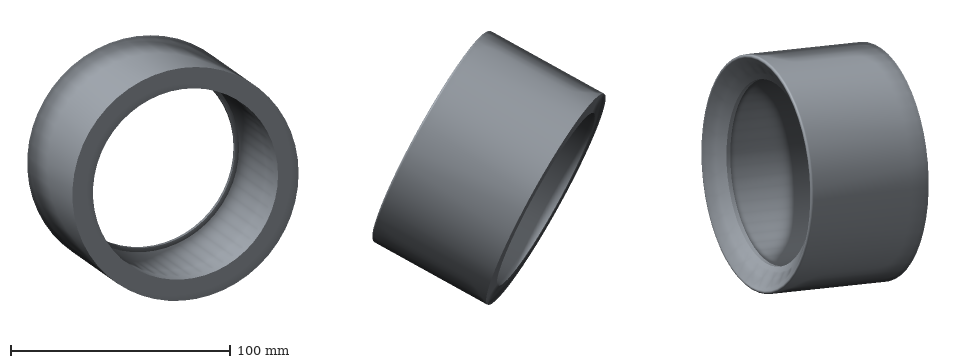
import cadquery as cq
import math

length = 60.2
outer_diameter = 110.0
land_diameter = 86.0
bore_diameter = 90.0
cone_depth = 7.0
land_length = 2.0
rim_radius = 1.0

outer_radius = outer_diameter / 2
land_radius = land_diameter / 2
bore_radius = bore_diameter / 2
land_end = cone_depth + land_length

rim_center_x = rim_radius
rim_center_r = outer_radius - rim_radius
offset_x = cone_depth - rim_center_x
offset_r = land_radius - rim_center_r
direction_to_edge = math.atan2(offset_r, offset_x)
distance_to_edge = math.hypot(offset_x, offset_r)
tangent_angle = direction_to_edge - math.acos(rim_radius / distance_to_edge)


def rim_point(angle):
    """Point (x, radius) on the rim circle at the given angle."""
    return (
        rim_center_x + rim_radius * math.cos(angle),
        rim_center_r + rim_radius * math.sin(angle),
    )


section = (
    cq.Workplane("XY")
    .moveTo(length, outer_radius)
    .lineTo(rim_center_x, outer_radius)
    .threePointArc(rim_point(math.pi), rim_point(tangent_angle))
    .lineTo(cone_depth, land_radius)
    .lineTo(land_end, land_radius)
    .lineTo(land_end, bore_radius)
    .lineTo(length, bore_radius)
    .close()
)

result = section.revolve(360, (0, 0, 0), (1, 0, 0))